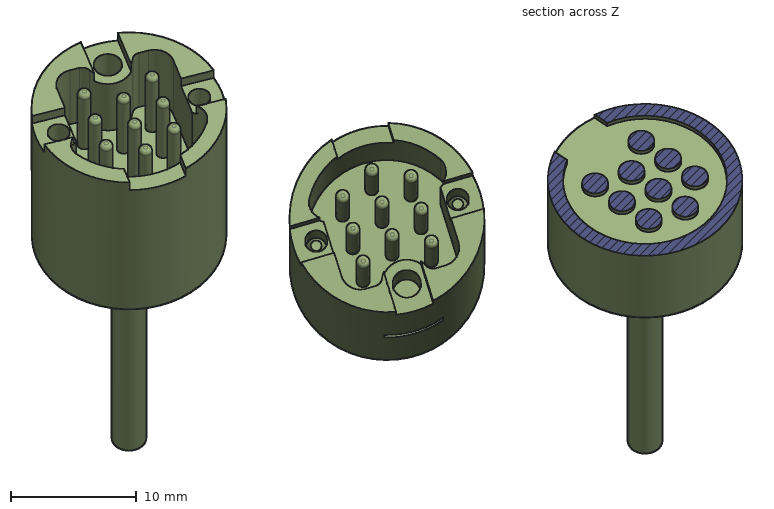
import cadquery as cq
import math

total_height = 41.15
housing_diameter = 15.5
housing_height = 16.05
bottom_chamfer = 0.2
cable_diameter = 2.8
housing_bottom = total_height - housing_height

notch_depth = 0.95
notch_width = 3.1
wide_notch_width = 4.7
notch_floor = total_height - notch_depth

pocket_depth = 6.75
pocket_left = -5.1
pocket_half_width = 4.85
pocket_corner_radius = 1.55
pocket_round_radius = 6.38
lobe_radius = 1.4
lobe_offset_y = 4.25
pocket_floor = total_height - pocket_depth

key_x = -5.45
key_boss_radius = 1.98
key_boss_fillet = 0.75
key_hole_diameter = 2.25
blind_hole_depth = 4.1
blind_hole_bottom = total_height - blind_hole_depth

power_offset_y = 5.9
power_hole_diameter = 1.75
power_pin_diameter = 1.7
power_tip_diameter = 0.85
power_tip_length = 0.82
power_pin_recess = 2.45

pin_diameter = 1.05
pin_tip_diameter = 0.33
pin_recess = 0.15
pin_pitch = 2.8
row_pitch = 2.85
barrel_diameter = 2.1

chamber_radius = 6.5
chamber_top_depth = 7.57
chamber_height = 0.8
window_width = 4.9
chamber_bottom = total_height - chamber_top_depth - chamber_height


def cylinder(diameter, bottom, height, x=0.0, y=0.0):
    return cq.Workplane("XY", origin=(x, y, bottom)).circle(diameter / 2).extrude(height)


def rounded_pin(diameter, tip_diameter, bottom, top, x, y):
    tip_radius = (diameter - tip_diameter) / 2
    pin = cylinder(diameter, bottom, top - bottom, x, y)
    return pin.faces(">Z").edges().fillet(tip_radius)


def tapered_pin(diameter, tip_diameter, tip_length, bottom, top, x, y):
    pin = cylinder(diameter, bottom, top - bottom, x, y)
    tip_inset = (diameter - tip_diameter) / 2
    return pin.faces(">Z").chamfer(tip_length, tip_inset)


def signal_positions():
    positions = []
    for row in (-1, 0, 1):
        shift = pin_pitch / 2 if row == 0 else 0.0
        for column in (-1, 0, 1):
            positions.append((column * pin_pitch + shift, row * row_pitch))
    return positions


def make_housing():
    housing = cylinder(housing_diameter, housing_bottom, housing_height)
    return housing.faces("<Z").edges().chamfer(bottom_chamfer)


def make_pocket():
    lobe_center_distance = pocket_round_radius - lobe_radius
    lobe_x = math.sqrt(lobe_center_distance**2 - lobe_offset_y**2)
    tangent_scale = pocket_round_radius / lobe_center_distance
    tangent_x = lobe_x * tangent_scale
    tangent_y = lobe_offset_y * tangent_scale
    lobe_start_x = lobe_x - math.sqrt(lobe_radius**2 - (pocket_half_width - lobe_offset_y) ** 2)
    lobe_top_y = lobe_offset_y + lobe_radius

    pocket = (
        cq.Workplane("XY", origin=(0, 0, pocket_floor))
        .moveTo(pocket_left, -pocket_half_width)
        .lineTo(lobe_start_x, -pocket_half_width)
        .threePointArc((lobe_x, -lobe_top_y), (tangent_x, -tangent_y))
        .threePointArc((pocket_round_radius, 0), (tangent_x, tangent_y))
        .threePointArc((lobe_x, lobe_top_y), (lobe_start_x, pocket_half_width))
        .lineTo(pocket_left, pocket_half_width)
        .close()
        .extrude(pocket_depth)
    )
    pocket = pocket.edges("|Z and <X").fillet(pocket_corner_radius)
    pocket = pocket.cut(cylinder(2 * key_boss_radius, pocket_floor, pocket_depth, key_x))
    boss_corner_zone = cq.selectors.BoxSelector(
        (pocket_left - key_boss_fillet, -key_boss_radius, pocket_floor),
        (pocket_left + key_boss_fillet, key_boss_radius, total_height),
    )
    return pocket.edges("|Z").edges(boss_corner_zone).fillet(key_boss_fillet)


def make_notches():
    base = cq.Workplane("XY", origin=(0, 0, notch_floor))
    side = housing_diameter / 2
    across = base.rect(notch_width, housing_diameter).extrude(notch_depth)
    left = base.center(-side / 2, 0).rect(side, notch_width).extrude(notch_depth)
    right = base.center(side / 2, 0).rect(side, wide_notch_width).extrude(notch_depth)
    return across.union(left).union(right)


def make_blind_holes():
    holes = cylinder(key_hole_diameter, blind_hole_bottom, blind_hole_depth, key_x)
    for y in (-power_offset_y, power_offset_y):
        holes = holes.union(cylinder(power_hole_diameter, blind_hole_bottom, blind_hole_depth, 0, y))
    return holes


def make_chamber():
    chamber = cylinder(2 * chamber_radius, chamber_bottom, chamber_height)
    window = (
        cq.Workplane("XY", origin=(-housing_diameter / 4, 0, chamber_bottom))
        .rect(housing_diameter / 2, window_width)
        .extrude(chamber_height)
    )
    return chamber.union(window)


result = (
    make_housing()
    .cut(make_pocket())
    .cut(make_notches())
    .cut(make_blind_holes())
    .cut(make_chamber())
    .union(cylinder(cable_diameter, 0, housing_bottom))
)

signal_top = total_height - pin_recess
for x, y in signal_positions():
    barrel = cylinder(barrel_diameter, chamber_bottom, chamber_height, x, y)
    pin = rounded_pin(pin_diameter, pin_tip_diameter, pocket_floor, signal_top, x, y)
    result = result.union(barrel).union(pin)

power_top = total_height - power_pin_recess
for y in (-power_offset_y, power_offset_y):
    pin = tapered_pin(
        power_pin_diameter, power_tip_diameter, power_tip_length, blind_hole_bottom, power_top, 0, y
    )
    result = result.union(pin)